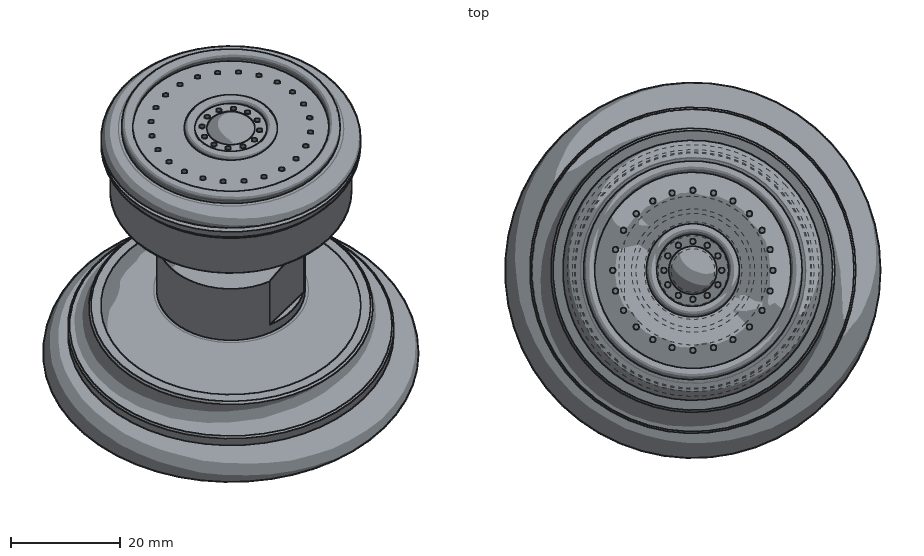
import cadquery as cq
import math

base_diameter = 68.5
base_radius = base_diameter / 2
foot_round = 4.9
band_radius = 29.7
band_top = 6.65
band_chamfer = 0.35
cove_radius = 4.65
rim_radius = 25.9
rim_top = 12.0
rim_chamfer = 0.4
dome_radius = 23.7
dome_top = 16.0
dome_top_radius = 14.1
dome_rise = 0.35

neck_radius = 13.55
neck_edge = 28.9
neck_top = 31.7
neck_top_radius = 8.9
flat_distance = 12.45
flat_bottom = 18.0

ball_radius = 8.55
ball_center = 25.95
stem_radius = 4.0

hub_bottom = 34.9
hub_radius = 11.2
hub_chamfer = 0.8
hub_fillet = 0.8
body_bottom = 40.3
body_radius = 22.05
body_chamfer = 0.6
body_top = 50.0
body_top_chamfer = 0.4
ring_radius = 23.7
lower_ring_edge = 52.7
groove_radius = 22.95
groove_bottom = 53.15
groove_width = 0.15
upper_ring_edge = 53.7
upper_ring_top = 56.3
upper_ring_top_radius = 20.55
lower_ring_bulge = 0.6
upper_ring_bulge = 0.8

lip_radius = 19.9
lip_round = 1.0
lip_top = 58.0
face_height = 56.35
inner_ring_radius = 7.5
inner_ring_round = 0.95
face_rise = 0.4
button_radius = 4.4
part_height = 58.6
nozzle_radius = 0.515
nozzle_depth = 1.0
outer_nozzle_count = 24
outer_nozzle_circle = 14.6
inner_nozzle_count = 12
inner_nozzle_circle = 5.3


def bulge(start, end, rise):
    """Middle point of an arc that rises to the left of the line from start to end."""
    dx = end[0] - start[0]
    dz = end[1] - start[1]
    length = math.hypot(dx, dz)
    middle_x = (start[0] + end[0]) / 2 - rise * dz / length
    middle_z = (start[1] + end[1]) / 2 + rise * dx / length
    return middle_x, middle_z


def arc_rise(start, end, radius):
    """Height of an arc of the given radius above its chord."""
    half_chord = math.hypot(end[0] - start[0], end[1] - start[1]) / 2
    return radius - math.sqrt(radius**2 - half_chord**2)


def arc_to(profile, start, end, rise):
    """Extend a profile by an arc; a negative rise bulges to the right of the line."""
    return profile.threePointArc(bulge(start, end, rise), end)


def turn(profile):
    """Close a profile on the Z axis and revolve it."""
    return profile.close().revolve(360, (0, 0, 0), (0, 1, 0))


def make_flange():
    """Round base: rounded foot, band, cove, rim and dome."""
    foot_start = (base_radius, 0)
    foot_end = (base_radius - foot_round, foot_round)
    cove_start = (band_radius - band_chamfer, band_top + band_chamfer)
    cove_end = (rim_radius, rim_top - rim_chamfer)
    dome_start = (dome_radius, rim_top)
    dome_end = (dome_top_radius, dome_top)
    profile = cq.Workplane("XZ").moveTo(0, 0).lineTo(*foot_start)
    profile = arc_to(profile, foot_start, foot_end, -arc_rise(foot_start, foot_end, foot_round))
    profile = profile.lineTo(band_radius, foot_round).lineTo(band_radius, band_top).lineTo(*cove_start)
    profile = arc_to(profile, cove_start, cove_end, arc_rise(cove_start, cove_end, cove_radius))
    profile = profile.lineTo(rim_radius - rim_chamfer, rim_top).lineTo(*dome_start)
    profile = arc_to(profile, dome_start, dome_end, -dome_rise)
    return turn(profile.lineTo(0, dome_top))


def make_neck():
    """Collar with wrench flats, and the ball and stem that carry the head."""
    ball_low_radius = math.sqrt(ball_radius**2 - (neck_top - ball_center)**2)
    ball_low = (ball_low_radius, neck_top)
    ball_high = (stem_radius, ball_center + math.sqrt(ball_radius**2 - stem_radius**2))
    profile = cq.Workplane("XZ").moveTo(0, dome_top).lineTo(neck_radius, dome_top)
    profile = profile.lineTo(neck_radius, neck_edge).lineTo(neck_top_radius, neck_top).lineTo(*ball_low)
    profile = arc_to(profile, ball_low, ball_high, -arc_rise(ball_low, ball_high, ball_radius))
    neck = turn(profile.lineTo(stem_radius, hub_bottom).lineTo(0, hub_bottom))
    cutter_height = neck_top - flat_bottom
    for side in (-1, 1):
        cutter = cq.Workplane("XY").box(neck_radius, 2 * neck_radius, cutter_height)
        cutter_x = side * (flat_distance + neck_radius / 2)
        neck = neck.cut(cutter.translate((cutter_x, 0, flat_bottom + cutter_height / 2)))
    return neck


def make_head():
    """Hub, body, twin rings and the spray face with its lip, inner ring and button."""
    fillet_start = (hub_radius, body_bottom - hub_fillet)
    fillet_end = (hub_radius + hub_fillet, body_bottom)
    lower_start = (body_radius - body_top_chamfer, body_top)
    lower_end = (ring_radius, lower_ring_edge)
    upper_start = (ring_radius, upper_ring_edge)
    upper_end = (upper_ring_top_radius, upper_ring_top)
    lip_start = (lip_radius, lip_top - lip_round)
    lip_end = (lip_radius - 2 * lip_round, lip_top - lip_round)
    face_edge = (lip_end[0], face_height)
    inner_start = (inner_ring_radius + inner_ring_round, face_height)
    inner_end = (inner_ring_radius - inner_ring_round, face_height)
    button_start = (button_radius, face_height)
    button_top = (0, part_height)

    button_height = part_height - face_height
    button_sphere = (button_radius**2 + button_height**2) / (2 * button_height)

    profile = cq.Workplane("XZ").moveTo(0, hub_bottom).lineTo(hub_radius - hub_chamfer, hub_bottom)
    profile = profile.lineTo(hub_radius, hub_bottom + hub_chamfer).lineTo(*fillet_start)
    profile = arc_to(profile, fillet_start, fillet_end, arc_rise(fillet_start, fillet_end, hub_fillet))
    profile = profile.lineTo(body_radius - body_chamfer, body_bottom)
    profile = profile.lineTo(body_radius, body_bottom + body_chamfer)
    profile = profile.lineTo(body_radius, body_top - body_top_chamfer).lineTo(*lower_start)
    profile = arc_to(profile, lower_start, lower_end, -lower_ring_bulge)
    profile = profile.lineTo(groove_radius, groove_bottom).lineTo(groove_radius, groove_bottom + groove_width)
    profile = profile.lineTo(*upper_start)
    profile = arc_to(profile, upper_start, upper_end, -upper_ring_bulge)
    profile = profile.lineTo(lip_radius, upper_ring_top).lineTo(*lip_start)
    profile = arc_to(profile, lip_start, lip_end, -lip_round)
    profile = profile.lineTo(*face_edge)
    profile = arc_to(profile, face_edge, inner_start, -face_rise)
    profile = arc_to(profile, inner_start, inner_end, -inner_ring_round)
    profile = profile.lineTo(*button_start)
    profile = arc_to(profile, button_start, button_top, -arc_rise(button_start, button_top, button_sphere))
    return turn(profile)


def make_nozzles(count, circle_radius):
    """Small blind spray holes, evenly spaced on a circle."""
    centers = cq.Workplane("XY").workplane(offset=face_height - nozzle_depth)
    centers = centers.polarArray(circle_radius, 0, 360, count)
    return centers.circle(nozzle_radius).extrude(part_height - face_height + nozzle_depth)


result = make_flange().union(make_neck()).union(make_head())
result = result.cut(make_nozzles(outer_nozzle_count, outer_nozzle_circle))
result = result.cut(make_nozzles(inner_nozzle_count, inner_nozzle_circle))